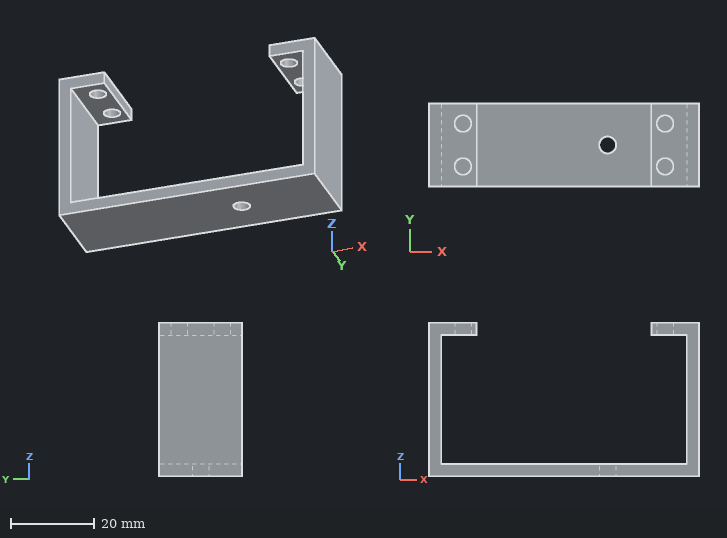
import cadquery as cq

length = 65.0
width = 20.0
height = 37.0
thickness = 3.0

flange_reach = 11.5

hole_diameter = 4.0
flange_hole_inset = 8.2
flange_hole_spacing = 10.3
base_hole_x = 10.5


def box_from_corner(size_x, size_z, x, z):
    """Full-width plate, centred on Y, with its lowest X and Z corner at (x, z)."""
    plate = cq.Workplane("XY").box(size_x, width, size_z, centered=(False, True, False))
    return plate.translate((x, 0, z))


def vertical_holes(points, bottom_z):
    """Cutters that pass through one horizontal plate whose underside is at bottom_z."""
    plane = cq.Workplane("XY").workplane(offset=bottom_z)
    return plane.pushPoints(points).circle(hole_diameter / 2).extrude(thickness)


def make_frame():
    """Base, two side walls and two inward flanges: a block with a slotted opening."""
    block = box_from_corner(length, height, -length / 2, 0)
    cavity = box_from_corner(
        length - 2 * thickness, height - 2 * thickness, -length / 2 + thickness, thickness
    )
    flange_gap = box_from_corner(
        length - 2 * flange_reach, thickness, -length / 2 + flange_reach, height - thickness
    )
    return block.cut(cavity).cut(flange_gap)


def flange_hole_points():
    """Two holes in each flange, mirrored about the middle of the bracket."""
    hole_x = length / 2 - flange_hole_inset
    hole_y = flange_hole_spacing / 2
    return [(side * hole_x, end * hole_y) for side in (-1, 1) for end in (-1, 1)]


flange_holes = vertical_holes(flange_hole_points(), height - thickness)
base_hole = vertical_holes([(base_hole_x, 0)], 0)

result = make_frame().cut(flange_holes).cut(base_hole)